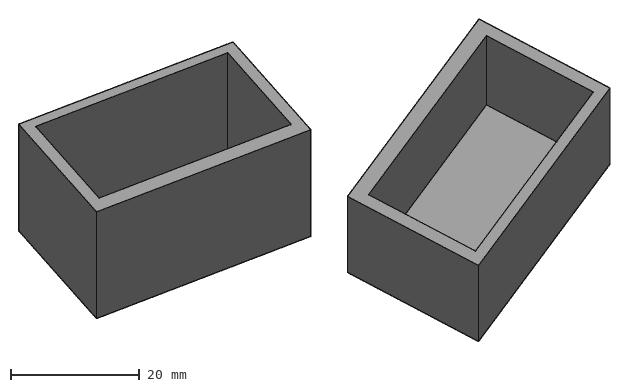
import cadquery as cq

width = 24.0
length = 38.5
height = 22.0

end_wall = 2.0
left_wall = 1.8
right_wall = 2.6
floor = end_wall

pocket_width = width - left_wall - right_wall
pocket_length = length - 2 * end_wall
pocket_depth = height - floor
pocket_shift = (left_wall - right_wall) / 2

body = cq.Workplane("XY").box(width, length, height, centered=(True, True, False))
pocket = (
    cq.Workplane("XY", origin=(pocket_shift, 0, floor))
    .box(pocket_width, pocket_length, pocket_depth, centered=(True, True, False))
)

result = body.cut(pocket)